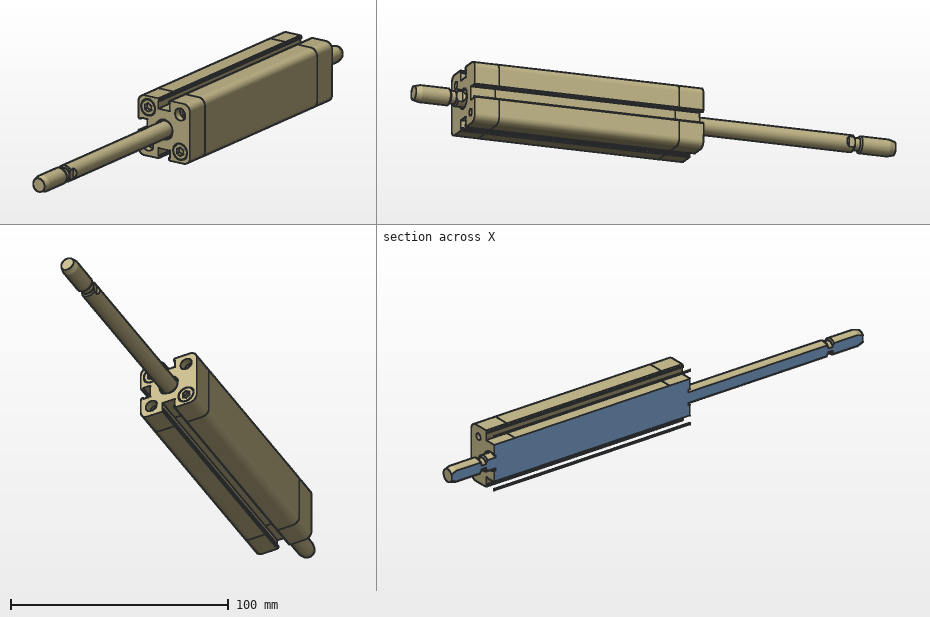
import cadquery as cq
import math

total_length = 237.0
body_length = 113.0
rear_reach = 24.5
body_rear = total_length / 2 - rear_reach
body_front = body_rear - body_length

body_width = 29.05
cap_width = 29.0
cap_length = 12.0
corner_radius = 3.5
slot_mouth_width = 5.2
slot_width = 6.4
slot_depth = 5.0
lip_thickness = 1.3
lip_bevel = 0.6

hole_offset = 9.0
through_diameter = 3.24
recess_diameter = 5.8
recess_depth = 4.0
screw_head_diameter = 7.5
groove_diameter = 8.0
groove_depth = 1.0
socket_diameter = 4.13
socket_depth = 2.0
socket_rotation = 30.0

rod_diameter = 8.0
bearing_diameter = 9.6
bearing_recess_depth = 1.0
neck_diameter = 6.0
neck_chamfer = 0.75
tip_diameter = 6.5
tip_chamfer_length = 2.9
thread_end = 16.7
neck_end = 20.0
flat_end = 23.0
across_flats = 6.3
flat_runout_angle = 30.0


def cylinder(diameter, front_y, rear_y, x=0.0, z=0.0):
    """Solid cylinder along Y between two stations."""
    return (
        cq.Workplane("XZ", origin=(x, front_y, z))
        .circle(diameter / 2)
        .extrude(front_y - rear_y)
    )


def slot_cutter(face_z, front_y, rear_y):
    """T-slot with bevelled lips in a top face at face_z."""
    inner_half = slot_width / 2
    mouth_half = slot_mouth_width / 2
    floor_z = face_z - slot_depth
    lip_z = face_z - lip_thickness
    right_side = [
        (inner_half, floor_z),
        (inner_half, lip_z),
        (mouth_half, lip_z),
        (mouth_half, face_z - lip_bevel),
        (mouth_half + lip_bevel, face_z),
    ]
    left_side = [(-x, z) for x, z in reversed(right_side)]
    return (
        cq.Workplane("XZ", origin=(0, front_y, 0))
        .polyline(right_side + left_side)
        .close()
        .extrude(front_y - rear_y)
    )


def slotted_bar(width, front_y, rear_y):
    """Square bar with rounded edges and slots in the top, bottom and -X faces."""
    bar = (
        cq.Workplane("XZ", origin=(0, front_y, 0))
        .rect(width, width)
        .extrude(front_y - rear_y)
        .edges("|Y")
        .fillet(corner_radius)
    )
    slot = slot_cutter(width / 2, front_y, rear_y)
    for angle in (0, 180, 270):
        bar = bar.cut(slot.rotate((0, 0, 0), (0, 1, 0), angle))
    return bar


def make_body():
    """Tube between two end caps of the same profile."""
    tube_front = body_front + cap_length
    tube_rear = body_rear - cap_length
    tube = slotted_bar(body_width, tube_front, tube_rear)
    front_cap = slotted_bar(cap_width, body_front, tube_front)
    rear_cap = slotted_bar(cap_width, tube_rear, body_rear)
    return tube.union(front_cap).union(rear_cap)


def cut_screw_outline(body, x, z):
    """Flush screw head: a thin ring groove around it and a hexagon socket in it."""
    ring = cylinder(groove_diameter, body_front, body_front + groove_depth, x, z)
    ring = ring.cut(cylinder(screw_head_diameter, body_front, body_front + groove_depth, x, z))
    socket = (
        cq.Workplane("XZ", origin=(x, body_front, z))
        .polygon(6, socket_diameter)
        .extrude(-socket_depth)
        .rotate((x, 0, z), (x, 1, z), socket_rotation)
    )
    return body.cut(ring).cut(socket)


def cut_corner_features(body):
    """Stepped through holes on one diagonal, screws on the other."""
    for side in (-1, 1):
        offset = side * hole_offset
        body = body.cut(cylinder(recess_diameter, body_front, body_front + recess_depth, offset, offset))
        body = body.cut(cylinder(through_diameter, body_front, body_rear, offset, offset))
        body = cut_screw_outline(body, offset, -offset)
    return body


def make_rod_half():
    """Front half of the rod, from the tip to mid-length."""
    tip_y = -total_length / 2
    tip_radius = tip_diameter / 2
    neck_radius = neck_diameter / 2
    rod_radius = rod_diameter / 2
    profile = [
        (0, tip_y),
        (tip_radius, tip_y),
        (rod_radius, tip_y + tip_chamfer_length),
        (rod_radius, tip_y + thread_end),
        (rod_radius - neck_chamfer, tip_y + thread_end + neck_chamfer),
        (neck_radius, tip_y + thread_end + neck_chamfer),
        (neck_radius, tip_y + neck_end),
        (rod_radius - neck_chamfer, tip_y + neck_end),
        (rod_radius, tip_y + neck_end + neck_chamfer),
        (rod_radius, 0),
        (0, 0),
    ]
    rod = cq.Workplane("XY").polyline(profile).close().revolve(360, (0, 0), (0, 1))
    half_flats = across_flats / 2
    runout_height = rod_radius - half_flats
    runout_length = runout_height / math.tan(math.radians(flat_runout_angle))
    for side in (-1, 1):
        cutter = (
            cq.Workplane("XY")
            .polyline([
                (side * half_flats, tip_y + neck_end),
                (side * half_flats, tip_y + flat_end),
                (side * rod_radius, tip_y + flat_end + runout_length),
                (side * rod_radius, tip_y + neck_end),
            ])
            .close()
            .extrude(rod_radius, both=True)
        )
        rod = rod.cut(cutter)
    return rod


body = cut_corner_features(make_body())
body = body.cut(cylinder(bearing_diameter, body_front, body_front + bearing_recess_depth))
body = body.cut(cylinder(bearing_diameter, body_rear - bearing_recess_depth, body_rear))
front_rod = make_rod_half()
rear_rod = front_rod.mirror("XZ")
result = body.union(front_rod).union(rear_rod)